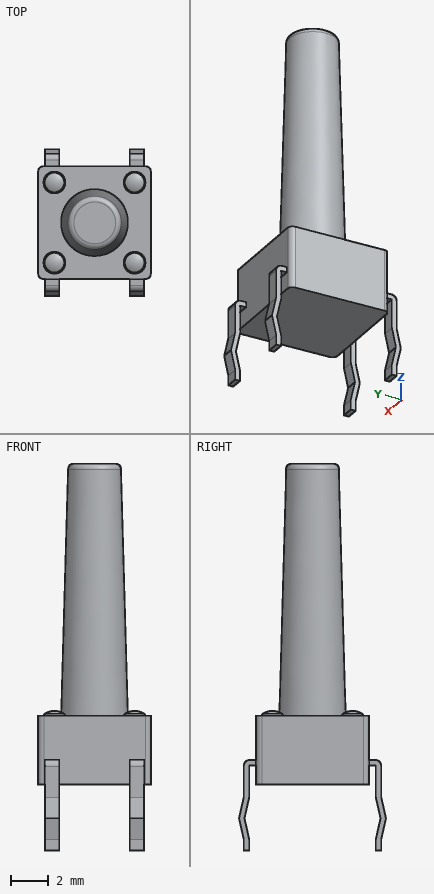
import cadquery as cq

body_side = 5.99
body_height = 3.65
body_corner_radius = 0.3

overall_height = 20.51
lead_length_below_body = 3.5
plunger_base_radius = 1.775
plunger_top_radius = 1.4
plunger_edge_radius = 0.3
plunger_height = overall_height - lead_length_below_body - body_height

rivet_offset = 2.125
rivet_radius = 0.58
rivet_rim_radius = 0.52
rivet_rim_height = 0.1
rivet_height = 0.26

lead_offset = 2.25
lead_width = 0.77
lead_thickness = 0.3
lead_shoulder_z = 1.31
lead_bend_radius = 0.33
lead_span = 7.8
lead_kink_y = lead_span / 2
lead_kink_depth = 0.25
lead_outer_y = lead_kink_y - lead_kink_depth
lead_inner_y = lead_outer_y - lead_thickness
lead_root_y = body_side / 2 - lead_thickness
kink_start_z = -0.68
kink_half_height = 1.11
kink_middle_z = kink_start_z - kink_half_height
kink_end_z = kink_middle_z - kink_half_height


def make_body():
    block = cq.Workplane("XY").box(body_side, body_side, body_height, centered=(True, True, False))
    return block.edges("|Z").fillet(body_corner_radius)


def make_plunger():
    half_profile = (
        cq.Workplane("XZ", origin=(0, 0, body_height))
        .lineTo(plunger_base_radius, 0)
        .lineTo(plunger_top_radius, plunger_height)
        .lineTo(0, plunger_height)
        .close()
    )
    stem = half_profile.revolve(360, (0, 0), (0, 1))
    return stem.faces(">Z").edges().fillet(plunger_edge_radius)


def make_rivet(x, y):
    dome_height = rivet_height - rivet_rim_height
    dome_radius = (rivet_rim_radius**2 + dome_height**2) / (2 * dome_height)
    half_profile = (
        cq.Workplane("XZ", origin=(x, y, body_height))
        .lineTo(rivet_radius, 0)
        .lineTo(rivet_rim_radius, rivet_rim_height)
        .radiusArc((0, rivet_height), -dome_radius)
        .close()
    )
    return half_profile.revolve(360, (0, 0), (0, 1))


def make_lead(x):
    """Lead on the +Y face: out of the housing, down, and through an outward kink."""
    side_profile = (
        cq.Workplane("YZ", origin=(x - lead_width / 2, 0, 0))
        .moveTo(lead_root_y, lead_shoulder_z)
        .lineTo(lead_outer_y - lead_bend_radius, lead_shoulder_z)
        .radiusArc((lead_outer_y, lead_shoulder_z - lead_bend_radius), lead_bend_radius)
        .lineTo(lead_outer_y, kink_start_z)
        .lineTo(lead_kink_y, kink_middle_z)
        .lineTo(lead_outer_y, kink_end_z)
        .lineTo(lead_outer_y, -lead_length_below_body)
        .lineTo(lead_inner_y, -lead_length_below_body)
        .lineTo(lead_inner_y, kink_end_z)
        .lineTo(lead_kink_y - lead_thickness, kink_middle_z)
        .lineTo(lead_inner_y, kink_start_z)
        .lineTo(lead_inner_y, lead_shoulder_z - lead_thickness)
        .lineTo(lead_root_y, lead_shoulder_z - lead_thickness)
        .close()
    )
    return side_profile.extrude(lead_width)


result = make_body().union(make_plunger())

for x_side in (-1, 1):
    for y_side in (-1, 1):
        result = result.union(make_rivet(x_side * rivet_offset, y_side * rivet_offset))

    lead = make_lead(x_side * lead_offset)
    result = result.union(lead).union(lead.mirror("XZ"))